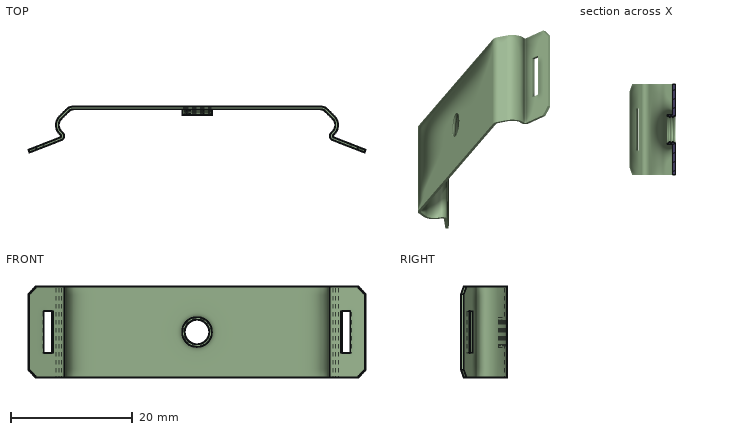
import cadquery as cq
import math

length = 55.55
height = 15.0
thickness = 0.5

flat_half_length = 20.4
shoulder_radius = 1.0 + thickness / 2
shoulder_angle = 45.0
shoulder_straight = 1.7
bulge_radius = 1.5 + thickness / 2
bulge_angle = 90.0
neck_straight = 0.35
neck_radius = 0.2 + thickness / 2
foot_slope = 21.3
neck_angle = shoulder_angle + bulge_angle - foot_slope

foot_corner_chamfer = 1.3
slot_width = 1.6
slot_height = 6.9
slot_center_x = 24.55

collar_diameter = 4.95
hole_diameter = 4.0
collar_reach = 1.45

groove_count = 3
groove_depth = 0.3
groove_width = 0.35

cut_depth = 4 * thickness


def shifted(point, heading, distance):
    """Point moved to the left of the heading (degrees) by a distance."""
    angle = math.radians(heading + 90)
    return (point[0] + distance * math.cos(angle), point[1] + distance * math.sin(angle))


def advanced(point, heading, distance):
    """Point moved along the heading (degrees) by a distance."""
    return shifted(point, heading - 90, distance)


def trace_strip(steps, start):
    """Follow (straight, bend angle, bend radius) steps; return stations and the end of the last bend.

    Each station is (point, heading). Every bend adds its start, middle and end;
    a positive angle turns left.
    """
    stations = [(start, 0.0)]
    point = start
    heading = 0.0
    for straight, angle, radius in steps:
        point = advanced(point, heading, straight)
        side = math.copysign(radius, angle)
        center = shifted(point, heading, side)
        for turn in (0, angle / 2, angle):
            stations.append((shifted(center, heading + turn, -side), heading + turn))
        heading += angle
        point = stations[-1][0]
    return stations, point


def trace_side(profile, side):
    """Draw one side of the strip: three arcs joined by lines, from the side's first point."""
    for first in range(1, len(side) - 1, 3):
        profile = profile.lineTo(*side[first])
        profile = profile.threePointArc(side[first + 1], side[first + 2])
    return profile.lineTo(*side[-1])


def strip_half():
    """Right half of the bent strip, with the start point and length of its foot."""
    steps = [
        (flat_half_length, -shoulder_angle, shoulder_radius),
        (shoulder_straight, -bulge_angle, bulge_radius),
        (neck_straight, neck_angle, neck_radius),
    ]
    stations, foot_start = trace_strip(steps, (0, -thickness / 2))
    slope = math.radians(foot_slope)
    foot_end_x = length / 2 - thickness / 2 * math.sin(slope)
    foot_length = (foot_end_x - foot_start[0]) / math.cos(slope)
    stations.append((advanced(foot_start, -foot_slope, foot_length), -foot_slope))

    upper = [shifted(point, heading, thickness / 2) for point, heading in stations]
    lower = [shifted(point, heading, -thickness / 2) for point, heading in stations]
    lower.reverse()

    profile = trace_side(cq.Workplane("XY").moveTo(*upper[0]), upper)
    profile = trace_side(profile.lineTo(*lower[0]), lower)
    strip = profile.close().extrude(height / 2, both=True)
    return strip, foot_start, foot_length


def foot_cuts(foot_start, foot_length):
    """Slot and two corner chamfers, cut square to the right foot."""
    slope = math.radians(foot_slope)
    foot_plane = cq.Plane(
        origin=(foot_start[0], foot_start[1], 0),
        xDir=(math.cos(slope), -math.sin(slope), 0),
        normal=(-math.sin(slope), -math.cos(slope), 0),
    )
    slot_distance = (slot_center_x - foot_start[0]) / math.cos(slope)
    cuts = (
        cq.Workplane(foot_plane)
        .center(slot_distance, 0)
        .rect(slot_width, slot_height)
        .extrude(cut_depth, both=True)
    )
    for side in (-1, 1):
        edge = side * height / 2
        corner = [
            (foot_length, edge),
            (foot_length - foot_corner_chamfer, edge),
            (foot_length, edge - side * foot_corner_chamfer),
        ]
        cuts = cuts.add(cq.Workplane(foot_plane).polyline(corner).close().extrude(cut_depth, both=True))
    return cuts.combine()


strip, foot_start, foot_length = strip_half()
half = strip.cut(foot_cuts(foot_start, foot_length))
clip = half.union(half.mirror("YZ"))

collar = (
    cq.Workplane("XZ", origin=(0, -thickness / 2, 0))
    .circle(collar_diameter / 2)
    .extrude(collar_reach - thickness / 2)
)
hole = cq.Workplane("XZ").circle(hole_diameter / 2).extrude(collar_reach)
result = clip.union(collar).cut(hole)

groove_pitch = collar_reach / groove_count
for index in range(groove_count):
    groove_y = -(index + 0.5) * groove_pitch
    groove_profile = [
        (0, groove_y - groove_width / 2),
        (hole_diameter / 2, groove_y - groove_width / 2),
        (hole_diameter / 2 + groove_depth, groove_y),
        (hole_diameter / 2, groove_y + groove_width / 2),
        (0, groove_y + groove_width / 2),
    ]
    groove = cq.Workplane("XY").polyline(groove_profile).close().revolve(360, (0, 0), (0, 1))
    result = result.cut(groove)